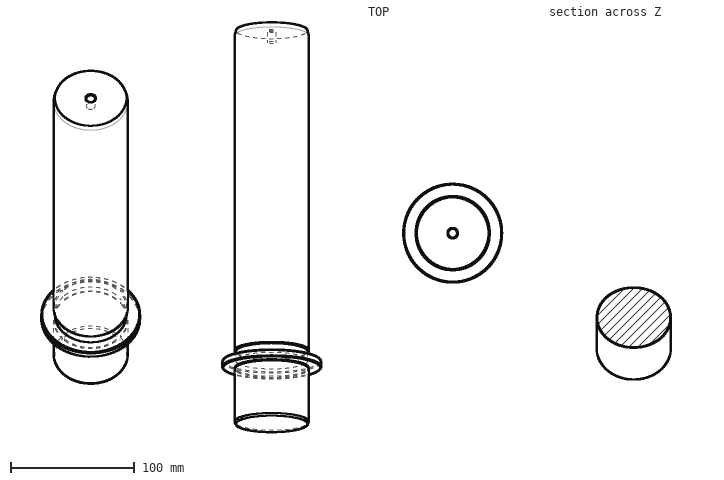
import cadquery as cq

total_length = 327.0
shaft_radius = 30.0
neck_radius = 29.0
flange_diameter = 80.0
flange_bottom = 46.8
flange_thickness = 6.0
neck_length = 7.5

relief_depth = 0.3
relief_height = 1.0

flange_chamfer = 0.82
shoulder_chamfer = 1.0
foot_chamfer_height = 2.0
foot_chamfer_width = 1.0
lead_in_height = 4.3
lead_in_width = 1.15

hole_diameter = 7.2
hole_depth = 9.8
hole_chamfer = 0.5
hole_chamfer_angle = 90

flange_radius = flange_diameter / 2
flange_top = flange_bottom + flange_thickness
shoulder = flange_top + neck_length
hole_mouth_diameter = hole_diameter + 2 * hole_chamfer

turned_profile = [
    (0, 0),
    (shaft_radius - foot_chamfer_width, 0),
    (shaft_radius, foot_chamfer_height),
    (shaft_radius, flange_bottom - relief_height),
    (shaft_radius - relief_depth, flange_bottom - relief_height),
    (shaft_radius - relief_depth, flange_bottom),
    (flange_radius - flange_chamfer, flange_bottom),
    (flange_radius, flange_bottom + flange_chamfer),
    (flange_radius, flange_top - flange_chamfer),
    (flange_radius - flange_chamfer, flange_top),
    (neck_radius, flange_top),
    (neck_radius, shoulder),
    (shaft_radius, shoulder + shoulder_chamfer),
    (shaft_radius, total_length - lead_in_height),
    (shaft_radius - lead_in_width, total_length),
    (0, total_length),
]
pin = cq.Workplane("XZ").polyline(turned_profile).close().revolve(360, (0, 0, 0), (0, 1, 0))

top_face = pin.faces(">Z").workplane()
result = top_face.cskHole(hole_diameter, hole_mouth_diameter, hole_chamfer_angle, hole_depth)